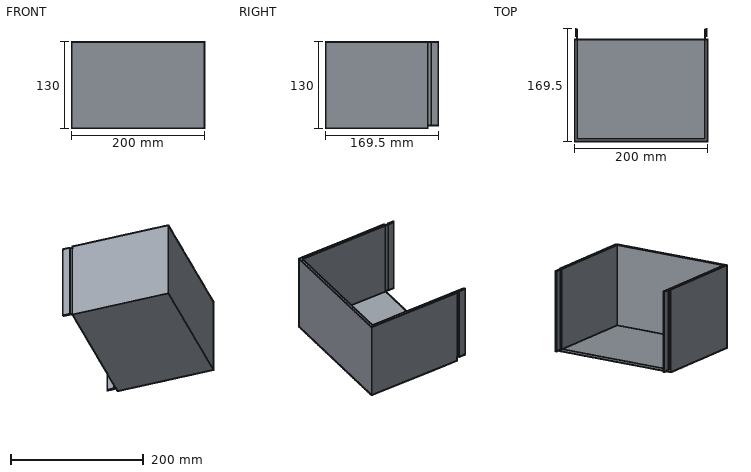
import cadquery as cq

width = 200.0
depth = 169.5
height = 130.0

wall = 4.0

tab_length = 16.0
neck_length = 4.8
neck_thickness = 0.8
hook_thickness = 2.5
tip_bevel = 1.2

body_depth = depth - tab_length


def make_tray():
    """Box open at the top and the rear: floor, front wall and two side walls."""
    body = cq.Workplane("XY").box(width, body_depth, height, centered=(True, False, False))
    cavity = (
        cq.Workplane("XY")
        .box(width - 2 * wall, body_depth, height, centered=(True, False, False))
        .translate((0, wall, wall))
    )
    return body.cut(cavity)


def make_left_tab():
    """Thin neck flush with the inner wall face, ending in an outward bevelled hook."""
    inner_x = -width / 2 + wall
    neck_x = inner_x - neck_thickness
    hook_x = inner_x - hook_thickness
    root_y = body_depth - wall
    hook_y = body_depth + neck_length
    outline = [
        (inner_x, root_y),
        (inner_x, depth - tip_bevel),
        (hook_x, depth),
        (hook_x, hook_y),
        (neck_x, hook_y),
        (neck_x, root_y),
    ]
    return cq.Workplane("XY").workplane(offset=wall).polyline(outline).close().extrude(height - wall)


left_tab = make_left_tab()
right_tab = left_tab.mirror("YZ")
result = make_tray().union(left_tab).union(right_tab)